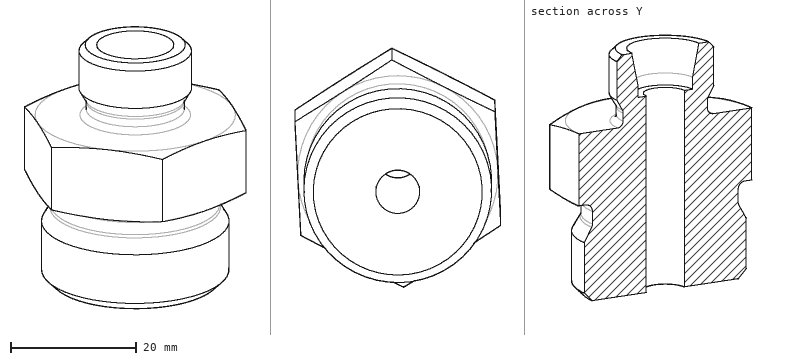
import cadquery as cq
import math

height = 40
hex_bottom = 16
hex_top = 28
hex_across_flats = 32
hex_chamfer_angle = 15

lower_dia = 30
lower_neck_dia = 27.0
lower_cylinder_top = 9.85
lower_root_height = 14.8
upper_dia = 18
upper_neck_dia = 15.7
upper_rim_dia = 16
upper_cylinder_bottom = 32.6
neck_fillet = 1.0

taper_angle = 30
taper_blend = 1.0

through_dia = 7.0
tube_dia = 10
cone_mouth_dia = 12.3
cone_half_angle = 12
tube_seat_depth = 7.45


def taper_length(large_dia, small_dia, half_angle):
    """Axial length of a cone whose side leans half_angle from the axis."""
    return (large_dia - small_dia) / 2 / math.tan(math.radians(half_angle))


def blend_reach():
    """Distance from the neck corner to each end of its blend arc."""
    return taper_blend * math.tan(math.radians(taper_angle / 2))


def make_hex():
    """Hexagon with corners on Y, its corners cut back by a cone at both ends."""
    corner_radius = hex_across_flats / math.sqrt(3)
    flat_radius = hex_across_flats / 2
    drop = (corner_radius - flat_radius) * math.tan(math.radians(hex_chamfer_angle))
    blank = (
        cq.Workplane("XY", origin=(0, 0, hex_bottom))
        .polygon(6, 2 * corner_radius)
        .extrude(hex_top - hex_bottom)
        .rotate((0, 0, 0), (0, 0, 1), 30)
    )
    envelope = (
        cq.Workplane("XZ")
        .moveTo(0, hex_bottom)
        .lineTo(flat_radius, hex_bottom)
        .lineTo(corner_radius, hex_bottom + drop)
        .lineTo(corner_radius, hex_top - drop)
        .lineTo(flat_radius, hex_top)
        .lineTo(0, hex_top)
        .close()
        .revolve(360, (0, 0), (0, 1))
    )
    return blank.intersect(envelope)


def make_lower_end():
    """Threaded end with a relief neck flaring into the hexagon."""
    outer = lower_dia / 2
    neck = lower_neck_dia / 2
    slope = math.radians(taper_angle)
    chamfer = outer - neck
    flare = hex_bottom - lower_root_height
    neck_start = lower_cylinder_top + taper_length(lower_dia, lower_neck_dia, taper_angle)
    reach = blend_reach()
    on_taper = (neck + reach * math.sin(slope), neck_start - reach * math.cos(slope))
    return (
        cq.Workplane("XZ")
        .lineTo(neck, 0)
        .lineTo(outer, chamfer)
        .lineTo(outer, lower_cylinder_top)
        .lineTo(*on_taper)
        .radiusArc((neck, neck_start + reach), taper_blend)
        .lineTo(neck, lower_root_height)
        .radiusArc((neck + flare, hex_bottom), flare)
        .lineTo(0, hex_bottom)
        .close()
        .revolve(360, (0, 0), (0, 1))
    )


def make_upper_end():
    """Threaded end with a relief neck rising from the hexagon."""
    outer = upper_dia / 2
    neck = upper_neck_dia / 2
    slope = math.radians(taper_angle)
    rim = upper_rim_dia / 2
    neck_end = upper_cylinder_bottom - taper_length(upper_dia, upper_neck_dia, taper_angle)
    reach = blend_reach()
    on_taper = (neck + reach * math.sin(slope), neck_end + reach * math.cos(slope))
    return (
        cq.Workplane("XZ")
        .moveTo(0, hex_top)
        .lineTo(neck + neck_fillet, hex_top)
        .radiusArc((neck, hex_top + neck_fillet), neck_fillet)
        .lineTo(neck, neck_end - reach)
        .radiusArc(on_taper, taper_blend)
        .lineTo(outer, upper_cylinder_bottom)
        .lineTo(outer, height - (outer - rim))
        .lineTo(rim, height)
        .lineTo(0, height)
        .close()
        .revolve(360, (0, 0), (0, 1))
    )


def make_bore():
    """Through hole, tube seat and conical mouth at the upper end."""
    cone_bottom = height - taper_length(cone_mouth_dia, tube_dia, cone_half_angle)
    seat = height - tube_seat_depth
    return (
        cq.Workplane("XZ")
        .lineTo(through_dia / 2, 0)
        .lineTo(through_dia / 2, seat)
        .lineTo(tube_dia / 2, seat)
        .lineTo(tube_dia / 2, cone_bottom)
        .lineTo(cone_mouth_dia / 2, height)
        .lineTo(0, height)
        .close()
        .revolve(360, (0, 0), (0, 1))
    )


body = make_hex().union(make_lower_end()).union(make_upper_end())
result = body.cut(make_bore())